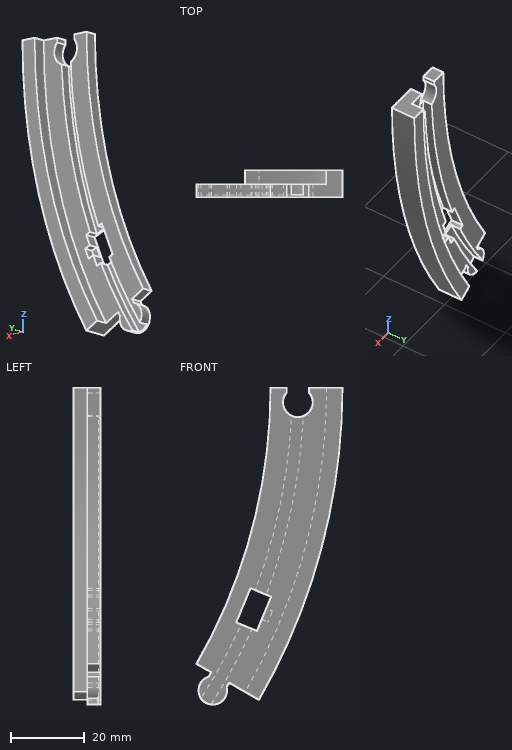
import cadquery as cq
import math

sweep_angle = 30.0
outer_radius = 169.6
track_width = 19.6
inner_radius = outer_radius - track_width
plate_thickness = 3.6

rail_width = 4.4
rail_height = 3.8

centreline_inset = 12.15
centreline_radius = outer_radius - centreline_inset

knob_radius = 3.9
socket_radius = 4.0
knob_neck_width = 5.7
socket_mouth_width = 6.0
connector_offset = 4.0

window_width = 6.0
window_length = 10.0
window_angle = 0.75 * sweep_angle

groove_width = 3.2
groove_floor_thickness = 0.7

notch_length = 1.8


def polar(radius, angle):
    """XZ point at a radius, with the angle in degrees below the +X axis."""
    radians = math.radians(angle)
    return radius * math.cos(radians), -radius * math.sin(radians)


def curved_band(inner, outer, front, depth, angle):
    """Annular sector of the given angle, occupying Y from front to front + depth."""
    return (
        cq.Workplane("XZ", origin=(0, front, 0))
        .moveTo(*polar(outer, 0))
        .threePointArc(polar(outer, angle / 2), polar(outer, angle))
        .lineTo(*polar(inner, angle))
        .threePointArc(polar(inner, angle / 2), polar(inner, 0))
        .close()
        .extrude(-depth)
    )


def connector(radius, neck_width):
    """Disc and neck below a horizontal end face on the centreline at angle zero."""
    plane = cq.Workplane("XZ")
    disc = plane.center(centreline_radius, -connector_offset).circle(radius).extrude(-plate_thickness)
    neck = (
        plane.center(centreline_radius, -connector_offset / 2)
        .rect(neck_width, connector_offset)
        .extrude(-plate_thickness)
    )
    return disc.union(neck)


def turned(solid, angle):
    """Rotate a solid about the arc axis, moving it down along the track."""
    return solid.rotate((0, 0, 0), (0, 1, 0), angle)


def window():
    cutter = (
        cq.Workplane("XZ")
        .center(centreline_radius, 0)
        .rect(window_width, window_length)
        .extrude(-plate_thickness)
    )
    return turned(cutter, window_angle)


def groove():
    knob_reach = connector_offset + 2 * knob_radius
    groove_angle = sweep_angle + math.degrees(knob_reach / centreline_radius)
    return curved_band(
        centreline_radius - groove_width / 2,
        centreline_radius + groove_width / 2,
        groove_floor_thickness,
        plate_thickness - groove_floor_thickness,
        groove_angle,
    )


def side_notch():
    reach = window_width / 2 + notch_length
    cutter = (
        cq.Workplane("XZ", origin=(centreline_radius, groove_floor_thickness, 0))
        .center(reach / 2, 0)
        .rect(reach, groove_width)
        .extrude(groove_floor_thickness - plate_thickness)
    )
    return turned(cutter, window_angle)


plate = curved_band(inner_radius, outer_radius, 0, plate_thickness, sweep_angle)
rail = curved_band(outer_radius - rail_width, outer_radius, plate_thickness, rail_height, sweep_angle)

result = (
    plate.union(rail)
    .union(turned(connector(knob_radius, knob_neck_width), sweep_angle))
    .cut(connector(socket_radius, socket_mouth_width))
    .cut(window())
    .cut(groove())
    .cut(side_notch())
)